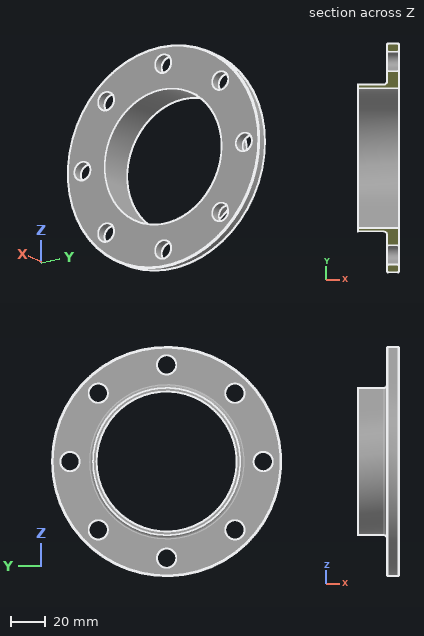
import cadquery as cq

flange_diameter = 133.0
total_length = 24.0
flange_thickness = 7.0
hub_diameter = 85.4
bore_diameter = 81.0
fillet_radius = 2.0
rim_chamfer = 0.5

hole_count = 8
hole_diameter = 11.0
hole_circle_diameter = 112.0

hub_end_x = -total_length / 2
flange_back_x = total_length / 2
flange_front_x = flange_back_x - flange_thickness


def disc(diameter, start_x, end_x):
    """Solid cylinder along X between two X positions."""
    plane = cq.Workplane("YZ", origin=(start_x, 0, 0))
    return plane.circle(diameter / 2).extrude(end_x - start_x)


flange = disc(flange_diameter, flange_front_x, flange_back_x).edges().chamfer(rim_chamfer)

hub = disc(hub_diameter, hub_end_x, flange_back_x)
root_edge = cq.selectors.BoxSelector(
    (flange_front_x - rim_chamfer / 2, -hub_diameter, -hub_diameter),
    (flange_front_x + rim_chamfer / 2, hub_diameter, hub_diameter),
)
body = flange.union(hub)
body = body.edges(root_edge).edges(cq.selectors.RadiusNthSelector(0)).fillet(fillet_radius)

body = body.cut(disc(bore_diameter, hub_end_x, flange_back_x))

bolt_holes = (
    cq.Workplane("YZ", origin=(flange_front_x, 0, 0))
    .polarArray(hole_circle_diameter / 2, 0, 360, hole_count)
    .circle(hole_diameter / 2)
    .extrude(flange_thickness)
)

result = body.cut(bolt_holes)